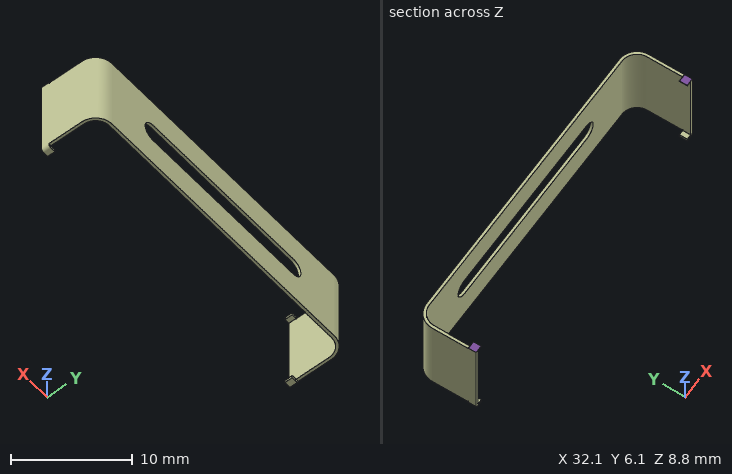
import cadquery as cq

length = 32.1
depth = 6.1
overall_height = 8.8

thickness = 0.3
strip_height = overall_height - 2 * thickness
bend_radius = 1.75

slot_length = 20.0
slot_height = 2.0

tab_reach = 0.8
tab_width = 0.8


def rounded_channel(width, channel_depth, radius):
    """Solid block under the channel outline, with its two back corners rounded."""
    return (
        cq.Workplane("XY")
        .rect(width, 2 * channel_depth)
        .extrude(strip_height / 2, both=True)
        .edges("|Z and >Y")
        .fillet(radius)
    )


def bent_strip():
    """U-shaped strip of constant thickness, open toward -Y."""
    outer = rounded_channel(length, depth, bend_radius)
    inner = rounded_channel(length - 2 * thickness, depth - thickness, bend_radius - thickness)
    front_half = cq.Workplane("XY").box(
        2 * length, 2 * depth, 2 * overall_height, centered=(True, False, True)
    ).translate((0, -2 * depth, 0))
    return outer.cut(inner).cut(front_half)


def slot_cutter():
    """Round-ended slot through the back wall."""
    return (
        cq.Workplane("XZ", origin=(0, depth, 0))
        .slot2D(slot_length, slot_height)
        .extrude(2 * thickness, both=True)
    )


def upper_left_tab():
    """Tab folded about the inner top edge of the left leg."""
    outer_x = -length / 2
    fold_x = outer_x + thickness
    fold_z = strip_height / 2
    top_z = overall_height / 2
    fold_offset = thickness * 0.5**0.5
    return (
        cq.Workplane("XZ")
        .moveTo(outer_x, fold_z)
        .threePointArc((fold_x - fold_offset, fold_z + fold_offset), (fold_x, top_z))
        .lineTo(outer_x + tab_reach, top_z)
        .lineTo(outer_x + tab_reach, fold_z)
        .close()
        .extrude(-tab_width)
    )


result = bent_strip().cut(slot_cutter())

left_tabs = upper_left_tab().union(upper_left_tab().mirror("XY"))
for tabs in (left_tabs, left_tabs.mirror("YZ")):
    result = result.union(tabs)